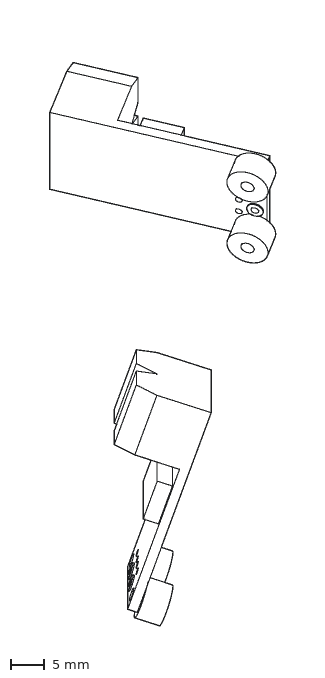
import cadquery as cq

overall_length = 34.87
overall_height = 19.9
board_length = 33.48
board_height = 17.1
board_thickness = 1.5

block_length = 10.0
block_top = 11.68
bevel_depth = 3.2
bevel_width = 1.5

chip_start = 13.2
chip_length = 6.35
chip_rise = 2.37
chip_height = 15.15

spacer_diameter = 6.35
spacer_bore = 2.02
spacer_length = 3.87
spacer_x = overall_length - spacer_diameter / 2
spacer_z = (overall_height - spacer_diameter) / 2

pad_diameter = 2.55
pad_bore = 1.15
pad_rise = 0.2
pad_z = 2.4

pin_diameter = 1.0
pin_x = 29.15
inner_pin_z = 1.1
outer_pin_z = 3.65


def box(x_start, length, y_start, depth, height):
    """Box centred on Z = 0."""
    return cq.Workplane("XY").box(length, depth, height, centered=(False, False, True)).translate(
        (x_start, y_start, 0)
    )


def cylinders(x, z_offsets, diameter, y_start, y_end):
    """Cylinders along Y, one on each side of Z = 0 for every offset."""
    points = [(x, side * z) for z in z_offsets for side in (-1, 1)]
    plane = cq.Workplane("XZ", origin=(0, y_end, 0))
    return plane.pushPoints(points).circle(diameter / 2).extrude(y_end - y_start)


def terminal_block():
    half = board_height / 2
    shoulder = block_top - bevel_depth
    outline = [
        (0, -half),
        (shoulder, -half),
        (block_top, -half + bevel_width),
        (block_top, -bevel_width),
        (shoulder, 0),
        (block_top, bevel_width),
        (block_top, half - bevel_width),
        (shoulder, half),
        (0, half),
    ]
    return cq.Workplane("YZ").polyline(outline).close().extrude(block_length)


board = box(0, board_length, 0, board_thickness, board_height)
chip = box(chip_start, chip_length, board_thickness, chip_rise, chip_height)

pad_bottom = -pad_rise
pad_top = board_thickness + pad_rise
spacers = cylinders(spacer_x, [spacer_z], spacer_diameter, -spacer_length, 0)
pads = cylinders(spacer_x, [pad_z], pad_diameter, pad_bottom, pad_top)

spacer_bores = cylinders(spacer_x, [spacer_z], spacer_bore, -spacer_length, board_thickness)
pad_bores = cylinders(spacer_x, [pad_z], pad_bore, pad_bottom, pad_top)
pin_holes = cylinders(pin_x, [inner_pin_z, outer_pin_z], pin_diameter, 0, board_thickness)

result = board.union(terminal_block()).union(chip).union(spacers).union(pads)
result = result.cut(spacer_bores).cut(pad_bores).cut(pin_holes)